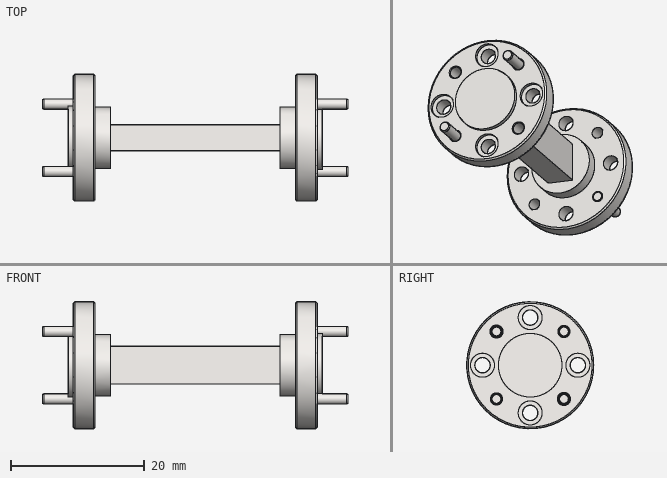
import cadquery as cq
import math


overall_length = 45.85
face_to_face = 38.1
bar_length = 25.4
boss_height = 0.75
flange_thickness = 3.3

bar_width = 3.91
bar_height = 5.69
flange_diameter = 19.05
flange_edge_chamfer = 0.25
boss_diameter = 9.53
hub_diameter = 9.25

pitch_radius = 14.29 / 2
screw_hole_diameter = 2.26
counterbore_diameter = 3.6
counterbore_depth = 0.6
dowel_hole_diameter = 1.7
hole_mouth_chamfer = 0.13

pin_diameter = 1.56
pin_chamfer_length = 0.25
pin_chamfer_inset = 0.12

flange_outer = face_to_face / 2 - boss_height
flange_inner = flange_outer - flange_thickness
pin_tip = overall_length / 2

screw_angles = (0, 90, 180, 270)
rising_diagonal = (45, 225)
falling_diagonal = (135, 315)

ends = (
    (-1, falling_diagonal, rising_diagonal),
    (1, rising_diagonal, falling_diagonal),
)


def rod(diameter, start, end, side, centre=(0, 0)):
    """Cylinder along X between two distances from the middle, on the given side."""
    return (
        cq.Workplane("YZ", origin=(side * start, 0, 0))
        .center(*centre)
        .circle(diameter / 2)
        .extrude(side * (end - start))
    )


def pitch_point(angle):
    """(Y, Z) position on the pitch circle."""
    turn = math.radians(angle)
    return pitch_radius * math.cos(turn), pitch_radius * math.sin(turn)


def chamfered_hole(diameter, side, angle):
    """Cutter for a hole through the flange, with a chamfered mouth on the outer face."""
    centre = pitch_point(angle)
    drill = rod(diameter, flange_inner, flange_outer, side, centre)
    mouth = cq.Solid.makeCone(
        diameter / 2 + hole_mouth_chamfer,
        diameter / 2,
        hole_mouth_chamfer,
        pnt=cq.Vector(side * flange_outer, *centre),
        dir=cq.Vector(-side, 0, 0),
    )
    return drill.union(cq.Workplane(mouth))


def make_flange(side, pin_angles, open_angles):
    """Chamfered disc with its hub, raised boss and hole pattern."""
    disc = rod(flange_diameter, flange_inner, flange_outer, side)
    disc = disc.edges("%CIRCLE").chamfer(flange_edge_chamfer)
    hub = rod(hub_diameter, bar_length / 2, flange_inner, side)
    boss = rod(boss_diameter, flange_outer, face_to_face / 2, side)
    flange = disc.union(hub).union(boss)

    counterbore_floor = flange_outer - counterbore_depth
    for angle in screw_angles:
        centre = pitch_point(angle)
        flange = flange.cut(rod(screw_hole_diameter, flange_inner, flange_outer, side, centre))
        flange = flange.cut(rod(counterbore_diameter, counterbore_floor, flange_outer, side, centre))
    for angle in open_angles:
        flange = flange.cut(chamfered_hole(dowel_hole_diameter, side, angle))
    for angle in pin_angles:
        flange = flange.cut(chamfered_hole(pin_diameter, side, angle))
    return flange


def make_pin(side, angle):
    """Dowel pin, flush with the inner flange face and chamfered at both ends."""
    pin = rod(pin_diameter, flange_inner, pin_tip, side, pitch_point(angle))
    for end_face in (">X", "<X"):
        pin = pin.faces(end_face).chamfer(pin_chamfer_length, pin_chamfer_inset)
    return pin


waveguide = cq.Workplane("XY").box(bar_length, bar_width, bar_height)
for side, pin_angles, open_angles in ends:
    waveguide = waveguide.union(make_flange(side, pin_angles, open_angles))

pins = [make_pin(side, angle) for side, pin_angles, _ in ends for angle in pin_angles]

result = cq.Compound.makeCompound([waveguide.val(), *[pin.val() for pin in pins]])